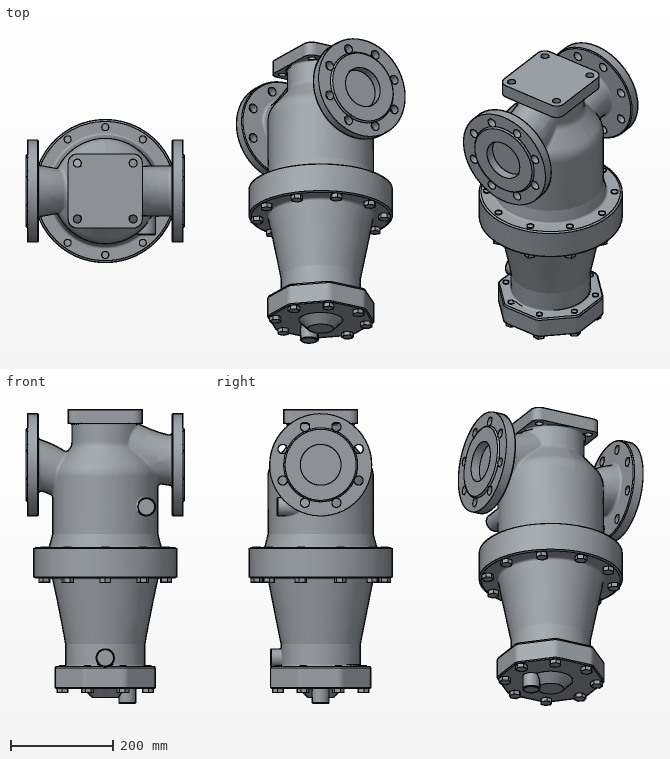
import cadquery as cq
import math

HEIGHT = 574.0
BOSS_END_Z = 11.5
COVER_BOTTOM_Z = 29.0
COVER_TOP_Z = 72.5
LOWER_CONE_Z = 115.5
FLANGE_BOTTOM_Z = 245.0
FLANGE_TOP_Z = 304.5
SKIRT_TOP_Z = 330.0
NOZZLE_Z = 466.0
NECK_BASE_Z = 509.5
CAP_BOTTOM_Z = 547.0
NECK_TOP_Z = 568.5

BODY_R = 206.0 / 2
NECK_R = 65.5
NECK_FILLET = 3.0
SHOULDER_ANGLE = math.radians(40)
SHOULDER_R = 37.5
NECK_BASE_FILLET = 18.5
SKIRT_R = 108.5
ROOT_FILLET = 5.0
FLANGE_R = 280.0 / 2
FLANGE_CHAMFER_WIDTH = 4.0
FLANGE_CHAMFER_HEIGHT = 2.0
LOWER_BODY_R = 155.0 / 2
LOWER_CONE_TOP_R = 102.0
COVER_ROOT_FILLET = 3.5

CAP_SIDE = 144.5
CAP_CORNER_R = 17.0
CAP_HOLE_D = 15.5
CAP_HOLE_PITCH = 109.0

COVER_SIDES = 8
COVER_FLATS = 196.5
COVER_CORNER_R = 16.0
COVER_CHAMFER_WIDTH = 2.0
COVER_TOP_CHAMFER_HEIGHT = 3.5
COVER_BOTTOM_CHAMFER_HEIGHT = 2.0
BOSS_END_R = 25.0

HEX_FLATS = 20.0
HEX_CORNERS = HEX_FLATS / math.cos(math.pi / 6)
FLANGE_BOLTS = 10
FLANGE_BOLT_R = 250.0 / 2
FLANGE_FIRST_BOLT_ANGLE = 90.0
FLANGE_STUD_D = 14.0
FLANGE_HEAD_HEIGHT = 8.5
COVER_BOLTS = COVER_SIDES
COVER_BOLT_R = 90.0
COVER_FIRST_BOLT_ANGLE = 180.0 / COVER_SIDES
COVER_STUD_D = 12.0
COVER_HEAD_HEIGHT = 8.0
STUD_RISE = 2.0

FACE_X = 310.0 / 2
RAISED_FACE = 3.5
PIPE_FLANGE_R = 200.0 / 2
PIPE_FLANGE_BACK_X = 130.5
PIPE_FLANGE_CHAMFER = 2.0
RAISED_BASE_R = 72.5
RAISED_FACE_R = 69.5
BORE_D = 80.0
BORE_DEPTH = 18.5
PIPE_BOLTS = 8
PIPE_BOLT_R = 80.5
PIPE_HOLE_D = 18.0
HUB_FILLET = 5.0

INLET_SECTIONS = [
    (-PIPE_FLANGE_BACK_X, NOZZLE_Z, 50.5, 0),
    (-99.5, 453.5, 45.0, -23),
    (-69.0, 432.0, 39.0, -40),
]
OUTLET_SECTIONS = [
    (138.0, 474.0, 49.0, -5),
    (77.0, 488.0, 49.0, -25),
    (28.5, 514.0, 46.0, -33),
]
NOZZLE_FILLET = 6.0

PLUG_R = 18.0
PLUG_CHAMFER = 2.0
PLUG_FILLET = 2.5
BODY_PLUG_X = 80.5
BODY_PLUG_Y = -85.5
BODY_PLUG_Z = 384.0
LOWER_PLUG_Y = -98.0
LOWER_PLUG_Z = 89.0
DRAIN_PLUG_R = 16.5
DRAIN_PLUG_X = 43.0

SEAM_TOLERANCE = 0.0005


def bend(radius, angle):
    """Radial and axial run of an arc that starts parallel to the axis."""
    return radius * (1 - math.cos(angle)), radius * math.sin(angle)


def root_arc_middle(r, z, size, direction):
    """Middle of the quarter round that leaves a wall of radius r at level z toward a flange.

    The direction is the sign of the way from z to the flange along Z.
    """
    run, rise = bend(size, math.pi / 4)
    return r + run, z + direction * rise


def make_body():
    """Upper casing, main flange and lower casing as one revolved outline."""
    neck_run, neck_drop = bend(NECK_BASE_FILLET, SHOULDER_ANGLE)
    neck_half_run, neck_half_drop = bend(NECK_BASE_FILLET, SHOULDER_ANGLE / 2)
    turn_run, turn_drop = bend(SHOULDER_R, SHOULDER_ANGLE)
    half_run, half_drop = bend(SHOULDER_R, SHOULDER_ANGLE / 2)
    cone_top_r = NECK_R + neck_run
    cone_top_z = NECK_BASE_Z - neck_drop
    cone_end_r = BODY_R - turn_run
    cone_end_z = cone_top_z - (cone_end_r - cone_top_r) / math.tan(SHOULDER_ANGLE)
    shoulder_z = cone_end_z - turn_drop
    skirt_z = FLANGE_TOP_Z + ROOT_FILLET
    lower_root_z = FLANGE_BOTTOM_Z - ROOT_FILLET
    chamfer_r = FLANGE_R - FLANGE_CHAMFER_WIDTH

    outline = (
        cq.Workplane("XZ")
        .moveTo(0, NECK_TOP_Z)
        .lineTo(NECK_R, NECK_TOP_Z)
        .lineTo(NECK_R, NECK_BASE_Z)
        .threePointArc((NECK_R + neck_half_run, NECK_BASE_Z - neck_half_drop), (cone_top_r, cone_top_z))
        .lineTo(cone_end_r, cone_end_z)
        .threePointArc((BODY_R - half_run, shoulder_z + half_drop), (BODY_R, shoulder_z))
        .lineTo(BODY_R, SKIRT_TOP_Z)
        .lineTo(SKIRT_R, skirt_z)
        .threePointArc(
            root_arc_middle(SKIRT_R, skirt_z, ROOT_FILLET, -1), (SKIRT_R + ROOT_FILLET, FLANGE_TOP_Z)
        )
        .lineTo(chamfer_r, FLANGE_TOP_Z)
        .lineTo(FLANGE_R, FLANGE_TOP_Z - FLANGE_CHAMFER_HEIGHT)
        .lineTo(FLANGE_R, FLANGE_BOTTOM_Z + FLANGE_CHAMFER_HEIGHT)
        .lineTo(chamfer_r, FLANGE_BOTTOM_Z)
        .lineTo(LOWER_CONE_TOP_R + ROOT_FILLET, FLANGE_BOTTOM_Z)
        .threePointArc(
            root_arc_middle(LOWER_CONE_TOP_R, lower_root_z, ROOT_FILLET, 1), (LOWER_CONE_TOP_R, lower_root_z)
        )
        .lineTo(LOWER_BODY_R, LOWER_CONE_Z)
        .lineTo(LOWER_BODY_R, COVER_BOTTOM_Z)
        .lineTo(0, COVER_BOTTOM_Z)
        .close()
    )
    return outline.revolve(360, (0, 0), (0, 1)).rotate((0, 0, 0), (0, 0, 1), 90)


def make_root_ring(radius, flange_z, size, direction):
    """Disc with a concave rim that blends a round neck into a flange face."""
    tip_z = flange_z + direction * size
    return (
        cq.Workplane("XZ")
        .moveTo(0, flange_z)
        .lineTo(radius + size, flange_z)
        .threePointArc(root_arc_middle(radius, tip_z, size, -direction), (radius, tip_z))
        .lineTo(0, tip_z)
        .close()
        .revolve(360, (0, 0), (0, 1))
    )


def make_cap():
    """Square cap with through holes and the blend into the neck below it."""
    cap = (
        cq.Workplane("XY", origin=(0, 0, CAP_BOTTOM_Z))
        .rect(CAP_SIDE, CAP_SIDE)
        .extrude(HEIGHT - CAP_BOTTOM_Z)
        .edges("|Z")
        .fillet(CAP_CORNER_R)
        .faces(">Z")
        .workplane()
        .rect(CAP_HOLE_PITCH, CAP_HOLE_PITCH, forConstruction=True)
        .vertices()
        .hole(CAP_HOLE_D)
    )
    return cap.union(make_root_ring(NECK_R, CAP_BOTTOM_Z, NECK_FILLET, -1))


def make_cover():
    """Octagonal cover with flats square to X and Y, and a conical boss underneath."""
    half_step = 180.0 / COVER_SIDES
    cover = (
        cq.Workplane("XY", origin=(0, 0, COVER_BOTTOM_Z))
        .transformed(rotate=(0, 0, half_step))
        .polygon(COVER_SIDES, COVER_FLATS / math.cos(math.radians(half_step)))
        .extrude(COVER_TOP_Z - COVER_BOTTOM_Z)
        .edges("|Z")
        .fillet(COVER_CORNER_R)
    )
    cover = cover.faces(">Z").edges().chamfer(COVER_TOP_CHAMFER_HEIGHT, COVER_CHAMFER_WIDTH)
    cover = cover.faces("<Z").edges().chamfer(COVER_BOTTOM_CHAMFER_HEIGHT, COVER_CHAMFER_WIDTH)
    boss_height = COVER_BOTTOM_Z - BOSS_END_Z
    boss = cq.Workplane(
        cq.Solid.makeCone(BOSS_END_R, BOSS_END_R + boss_height, boss_height, pnt=cq.Vector(0, 0, BOSS_END_Z))
    )
    root_ring = make_root_ring(LOWER_BODY_R, COVER_TOP_Z, COVER_ROOT_FILLET, 1)
    return cover.union(boss).union(root_ring)


def add_bolts(part, count, circle_r, first_angle, bottom_z, head_height, top_z, stud_d):
    """Ring of bolts with radially turned heads under a flange and stud ends above it."""
    head = (
        cq.Workplane("XY", origin=(circle_r, 0, bottom_z - head_height))
        .polygon(6, HEX_CORNERS)
        .extrude(head_height)
    )
    stud = (
        cq.Workplane("XY", origin=(circle_r, 0, bottom_z))
        .circle(stud_d / 2)
        .extrude(top_z + STUD_RISE - bottom_z)
    )
    bolt = head.union(stud)
    for i in range(count):
        part = part.union(bolt.rotate((0, 0, 0), (0, 0, 1), first_angle + i * 360.0 / count), clean=False)
    return part


def make_nozzle(sections):
    """Loft round sections given as (x, z, radius, tilt of the section in the XZ plane)."""
    wires = []
    for x, z, radius, tilt in sections:
        angle = math.radians(tilt)
        if x > 0:
            angle = math.radians(tilt)
        normal = cq.Vector(math.cos(angle), 0, math.sin(angle))
        wires.append(cq.Wire.makeCircle(radius, cq.Vector(x, 0, z), normal))
    return cq.Workplane(cq.Solid.makeLoft(wires))


def make_pipe_flange():
    """Flange on the -X side, with its raised face and bolt holes."""
    back = -PIPE_FLANGE_BACK_X
    face = -FACE_X
    rim_face = face + RAISED_FACE
    flange = (
        cq.Workplane("XY")
        .moveTo(face, 0)
        .lineTo(face, RAISED_FACE_R)
        .lineTo(rim_face, RAISED_BASE_R)
        .lineTo(rim_face, PIPE_FLANGE_R)
        .lineTo(back - PIPE_FLANGE_CHAMFER, PIPE_FLANGE_R)
        .lineTo(back, PIPE_FLANGE_R - PIPE_FLANGE_CHAMFER)
        .lineTo(back, 0)
        .close()
        .revolve(360, (0, 0), (1, 0))
    )
    holes = (
        cq.Workplane("YZ", origin=(face, 0, 0))
        .polarArray(PIPE_BOLT_R, 180.0 / PIPE_BOLTS, 360, PIPE_BOLTS)
        .circle(PIPE_HOLE_D / 2)
        .extrude(FACE_X - PIPE_FLANGE_BACK_X)
    )
    return flange.cut(holes).translate((0, 0, NOZZLE_Z))


def cut_bore(part, face_x, depth):
    """Blind bore along X from a flange face; the sign of the depth is its direction."""
    bore = cq.Workplane("YZ", origin=(face_x, 0, NOZZLE_Z)).circle(BORE_D / 2).extrude(depth)
    return part.cut(bore, clean=False)


def make_plug(radius, length):
    """Plug along +Z with its chamfered end at the origin."""
    return cq.Workplane("XY").circle(radius).extrude(length).faces("<Z").chamfer(PLUG_CHAMFER)


def make_front_plug(x, y, z):
    """Plug along Y with its chamfered end at the given point, reaching back to Y = 0."""
    return make_plug(PLUG_R, -y).rotate((0, 0, 0), (1, 0, 0), -90).translate((x, y, z))


def join_with_fillet(part, tool, radius):
    """Join two shapes and round the edges where their surfaces cross."""
    joined = part.union(tool, clean=False)
    skins = [shell for shape in (part, tool) for shell in shape.shells().vals()]
    seam = []
    for edge in joined.edges().vals():
        middle = edge.positionAt(0.5)
        point = cq.Vertex.makeVertex(middle.x, middle.y, middle.z)
        if all(skin.distance(point) < SEAM_TOLERANCE for skin in skins):
            seam.append(edge)
    return cq.Workplane(joined.solids().val().fillet(radius, seam))


result = make_body()
result = join_with_fillet(result, make_front_plug(0, LOWER_PLUG_Y, LOWER_PLUG_Z), PLUG_FILLET)
result = result.union(make_cover(), clean=False)
result = add_bolts(
    result, FLANGE_BOLTS, FLANGE_BOLT_R, FLANGE_FIRST_BOLT_ANGLE,
    FLANGE_BOTTOM_Z, FLANGE_HEAD_HEIGHT, FLANGE_TOP_Z, FLANGE_STUD_D,
)
result = add_bolts(
    result, COVER_BOLTS, COVER_BOLT_R, COVER_FIRST_BOLT_ANGLE,
    COVER_BOTTOM_Z, COVER_HEAD_HEIGHT, COVER_TOP_Z, COVER_STUD_D,
)
drain_plug = make_plug(DRAIN_PLUG_R, COVER_TOP_Z).translate((DRAIN_PLUG_X, 0, 0))
result = result.union(drain_plug, clean=False)

result = join_with_fillet(result, make_front_plug(BODY_PLUG_X, BODY_PLUG_Y, BODY_PLUG_Z), PLUG_FILLET)
result = join_with_fillet(result, make_nozzle(INLET_SECTIONS), NOZZLE_FILLET)
result = join_with_fillet(result, make_nozzle(OUTLET_SECTIONS), NOZZLE_FILLET)
pipe_flange = make_pipe_flange()
result = join_with_fillet(result, pipe_flange, HUB_FILLET)
result = join_with_fillet(result, pipe_flange.mirror("YZ"), HUB_FILLET)
result = cut_bore(result, -FACE_X, BORE_DEPTH)
result = cut_bore(result, FACE_X, -BORE_DEPTH)
result = result.union(make_cap(), clean=False)